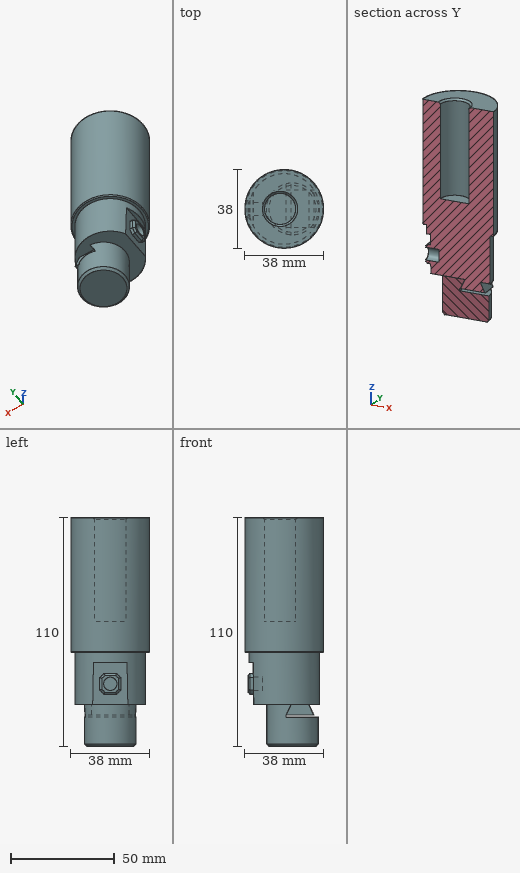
import cadquery as cq

TOTAL_HEIGHT = 110.0
BODY_BOTTOM = 45.0
NECK_BOTTOM = 20.0
FLAT_TOP = 40.3
RAIL_BOTTOM = 15.0
GAP_BOTTOM = 14.0

BODY_DIAMETER = 38.0
BODY_CHAMFER = 0.5
NECK_DIAMETER = 34.0

BORE_OFFSET = -2.0
BORE_DIAMETER = 15.0
BORE_CHAMFER = 1.0
BORE_DEPTH = 50.0

FLAT_DISTANCE_TOP = 15.0
FLAT_DISTANCE_BOTTOM = 14.7

BOSS_FACE = 17.4
BOSS_SIZE = 10.1
BOSS_CORNER = 2.1
BOSS_CHAMFER = 1.0
BOSS_Z = 30.0
BOSS_ROOT = 0.5
BOSS_HOLE_DIAMETER = 6.4
BOSS_HOLE_DEPTH = 7.0

RAIL_CENTER = 7.6
RAIL_TOP_WIDTH = 8.6
RAIL_BOTTOM_WIDTH = 13.4
RAIL_LENGTH = 18.0

SHANK_OFFSET = 4.0
SHANK_DIAMETER = 25.0
SHANK_CHAMFER = 1.2

RAIL_LEFT_TOP = RAIL_CENTER - RAIL_TOP_WIDTH / 2
RAIL_LEFT_BOTTOM = RAIL_CENTER - RAIL_BOTTOM_WIDTH / 2


def cylinder(diameter, bottom, top, center_x=0.0):
    """Vertical cylinder between two levels."""
    return (
        cq.Workplane("XY", origin=(center_x, 0, bottom))
        .circle(diameter / 2)
        .extrude(top - bottom)
    )


def extrude_along_y(points, length):
    """Prism with an XZ outline, centred on the XZ plane."""
    return cq.Workplane("XZ").polyline(points).close().extrude(length / 2, both=True)


def make_turned_body():
    body = cylinder(BODY_DIAMETER, BODY_BOTTOM, TOTAL_HEIGHT)
    body = body.faces("<Z").chamfer(BODY_CHAMFER)
    return body.union(cylinder(NECK_DIAMETER, NECK_BOTTOM, BODY_BOTTOM))


def make_flat_cutter():
    return extrude_along_y(
        [
            (-BODY_DIAMETER, NECK_BOTTOM),
            (-FLAT_DISTANCE_BOTTOM, NECK_BOTTOM),
            (-FLAT_DISTANCE_TOP, FLAT_TOP),
            (-BODY_DIAMETER, FLAT_TOP),
        ],
        BODY_DIAMETER,
    )


def make_boss():
    length = BOSS_FACE - FLAT_DISTANCE_BOTTOM + BOSS_ROOT
    boss = cq.Workplane("XY").box(length, BOSS_SIZE, BOSS_SIZE)
    boss = boss.edges("|X").chamfer(BOSS_CORNER)
    boss = boss.faces("<X").chamfer(BOSS_CHAMFER)
    return boss.translate((-BOSS_FACE + length / 2, 0, BOSS_Z))


def make_boss_hole():
    return (
        cq.Workplane("YZ", origin=(-BOSS_FACE, 0, BOSS_Z))
        .circle(BOSS_HOLE_DIAMETER / 2)
        .extrude(BOSS_HOLE_DEPTH)
    )


def make_bore():
    bore = cylinder(BORE_DIAMETER, TOTAL_HEIGHT - BORE_DEPTH, TOTAL_HEIGHT, BORE_OFFSET)
    countersink = cq.Workplane(
        cq.Solid.makeCone(
            BORE_DIAMETER / 2,
            BORE_DIAMETER / 2 + BORE_CHAMFER,
            BORE_CHAMFER,
            pnt=cq.Vector(BORE_OFFSET, 0, TOTAL_HEIGHT - BORE_CHAMFER),
        )
    )
    return bore.union(countersink)


def make_rail():
    return extrude_along_y(
        [
            (RAIL_LEFT_TOP, NECK_BOTTOM),
            (RAIL_LEFT_BOTTOM, RAIL_BOTTOM),
            (RAIL_CENTER + RAIL_BOTTOM_WIDTH / 2, RAIL_BOTTOM),
            (RAIL_CENTER + RAIL_TOP_WIDTH / 2, NECK_BOTTOM),
        ],
        RAIL_LENGTH,
    )


def make_housing():
    housing = make_turned_body().cut(make_flat_cutter())
    housing = housing.union(make_boss()).union(make_rail())
    return housing.cut(make_boss_hole()).cut(make_bore())


def make_shank():
    """Eccentric shank whose undercut side bears against the dovetail rail."""
    shank = cylinder(SHANK_DIAMETER, 0, NECK_BOTTOM, SHANK_OFFSET)
    shank = shank.faces("<Z").chamfer(SHANK_CHAMFER)
    outer_x = SHANK_OFFSET + SHANK_DIAMETER
    rail_clearance = extrude_along_y(
        [
            (RAIL_LEFT_TOP, NECK_BOTTOM),
            (RAIL_LEFT_BOTTOM, RAIL_BOTTOM),
            (RAIL_LEFT_BOTTOM, GAP_BOTTOM),
            (outer_x, GAP_BOTTOM),
            (outer_x, NECK_BOTTOM),
        ],
        SHANK_DIAMETER,
    )
    return shank.cut(rail_clearance)


housing = make_housing()
shank = make_shank()
result = cq.Compound.makeCompound([housing.val(), shank.val()])